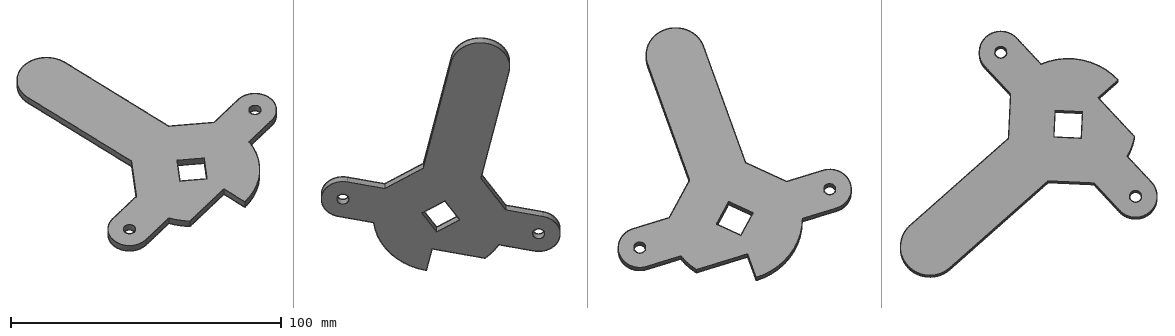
import cadquery as cq
import math

thickness = 3.2
overall_length = 105.0
disc_radius = 25.0
handle_half_width = 10.9
ear_radius = 8.0
overall_width = 90.0
ear_hole_diameter = 4.4
square_side = 10.1
shoulder_run = 12.0
step_x = 15.0

handle_tip_x = disc_radius - overall_length
handle_center_x = handle_tip_x + handle_half_width
shoulder_x = -ear_radius - shoulder_run
shoulder_y = handle_half_width + shoulder_run
ear_tip_y = overall_width / 2
ear_hole_offset = ear_tip_y - ear_radius


def disc_y(x):
    """Height of the disc edge at a given x."""
    return math.sqrt(disc_radius**2 - x**2)


def disc_point(angle):
    """Point on the disc edge at an angle in radians."""
    return (disc_radius * math.cos(angle), disc_radius * math.sin(angle))


ear_angle = math.acos(ear_radius / disc_radius)
step_angle = math.acos(step_x / disc_radius)
upper_arc_middle = disc_point(ear_angle / 2)
lower_arc_middle = disc_point(-(ear_angle + step_angle) / 2)

plate = (
    cq.Workplane("XY")
    .moveTo(shoulder_x, -handle_half_width)
    .lineTo(handle_center_x, -handle_half_width)
    .threePointArc((handle_tip_x, 0), (handle_center_x, handle_half_width))
    .lineTo(shoulder_x, handle_half_width)
    .lineTo(-ear_radius, shoulder_y)
    .lineTo(-ear_radius, ear_hole_offset)
    .threePointArc((0, ear_tip_y), (ear_radius, ear_hole_offset))
    .lineTo(ear_radius, disc_y(ear_radius))
    .threePointArc(upper_arc_middle, (disc_radius, 0))
    .lineTo(step_x, 0)
    .lineTo(step_x, -disc_y(step_x))
    .threePointArc(lower_arc_middle, (ear_radius, -disc_y(ear_radius)))
    .lineTo(ear_radius, -ear_hole_offset)
    .threePointArc((0, -ear_tip_y), (-ear_radius, -ear_hole_offset))
    .lineTo(-ear_radius, -shoulder_y)
    .close()
    .extrude(thickness)
)

ear_holes = (
    cq.Workplane("XY")
    .pushPoints([(0, ear_hole_offset), (0, -ear_hole_offset)])
    .circle(ear_hole_diameter / 2)
    .extrude(thickness)
)
square_hole = (
    cq.Workplane("XY")
    .rect(square_side, square_side)
    .extrude(thickness)
    .rotate((0, 0, 0), (0, 0, 1), 45)
)

result = plate.cut(ear_holes).cut(square_hole)